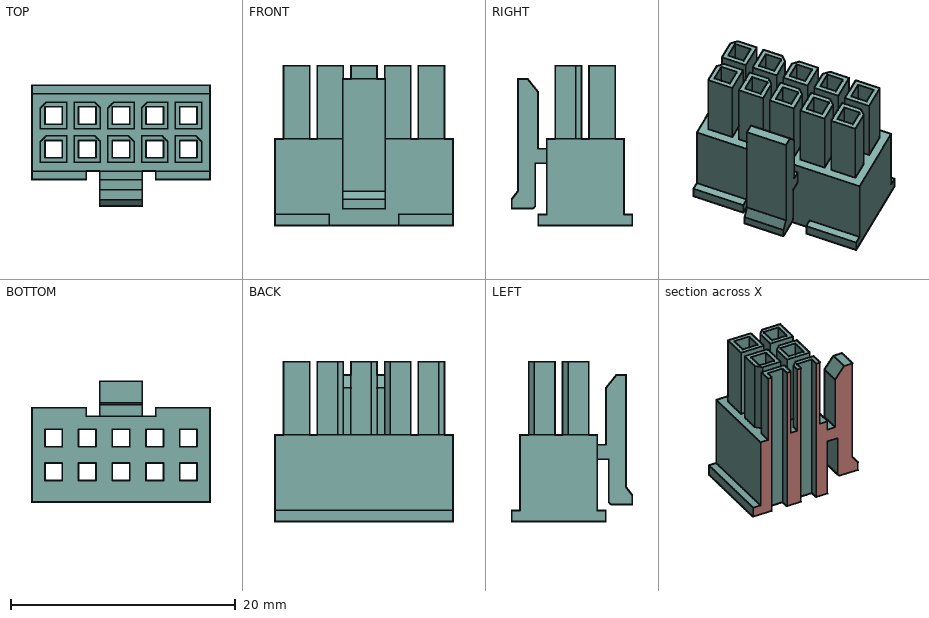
import cadquery as cq

width = 15.85
body_depth = 6.9
body_height = 7.7
flange_overhang = 0.75
flange_height = 1.0
flange_gap_width = 6.13

total_height = 14.2
columns = 5
pitch = 3.0
tower_size = 2.35
tower_key = 0.5
hole_size = 1.52

BACK_LEFT = "|Z and (<X and >Y)"
BACK_RIGHT = "|Z and (>X and >Y)"

front_row_keys = [BACK_LEFT, BACK_RIGHT, BACK_RIGHT, BACK_RIGHT, BACK_RIGHT]
back_row_keys = [BACK_LEFT, BACK_RIGHT, BACK_LEFT, BACK_LEFT, None]

latch_width = 3.8
latch_bottom = 1.49
latch_top = 13.03
thumb_inner_reach = flange_overhang
thumb_tip_reach = 1.66
thumb_bevel_height = 1.15
hook_inner_reach = 1.0
hook_inner_chamfer = 0.2
lever_outer_reach = 2.55
hook_outer_reach = 3.1
hook_flat_height = 0.84
hook_ramp_height = 0.73
bridge_bottom = 5.53
bridge_top = 6.83

front_face = -body_depth / 2


def make_housing():
    """Block with a flange along the front and back, interrupted in front of the latch."""
    body = cq.Workplane("XY").box(width, body_depth, body_height, centered=(True, True, False))
    flange = cq.Workplane("XY").box(
        width, body_depth + 2 * flange_overhang, flange_height, centered=(True, True, False)
    )
    gap = (
        cq.Workplane("XY")
        .center(0, front_face - flange_overhang / 2)
        .rect(flange_gap_width, flange_overhang)
        .extrude(flange_height)
    )
    return body.union(flange.cut(gap))


def tower_centers(row_y):
    """Positions of one row of towers, from left to right."""
    return [((column - (columns - 1) / 2) * pitch, row_y) for column in range(columns)]


def make_tower(center, key_corner):
    """Square post standing on the body, with one vertical edge beveled as a key."""
    tower = (
        cq.Workplane("XY", origin=(*center, body_height))
        .rect(tower_size, tower_size)
        .extrude(total_height - body_height)
    )
    if key_corner is None:
        return tower
    return tower.edges(key_corner).chamfer(tower_key)


def make_latch():
    """Lever held by a bridge, with a thumb pad above and a hook below."""
    profile = [
        (0, bridge_bottom),
        (hook_inner_reach, bridge_bottom),
        (hook_inner_reach, latch_bottom + hook_inner_chamfer),
        (hook_inner_reach + hook_inner_chamfer, latch_bottom),
        (hook_outer_reach, latch_bottom),
        (hook_outer_reach, latch_bottom + hook_flat_height),
        (lever_outer_reach, latch_bottom + hook_flat_height + hook_ramp_height),
        (lever_outer_reach, latch_top),
        (thumb_tip_reach, latch_top),
        (thumb_inner_reach, latch_top - thumb_bevel_height),
        (thumb_inner_reach, bridge_top),
        (0, bridge_top),
    ]
    return (
        cq.Workplane("YZ")
        .polyline([(front_face - reach, z) for reach, z in profile])
        .close()
        .extrude(latch_width / 2, both=True)
    )


front_row = tower_centers(-pitch / 2)
back_row = tower_centers(pitch / 2)
all_centers = front_row + back_row

result = make_housing().union(make_latch())
for center, key_corner in zip(all_centers, front_row_keys + back_row_keys):
    result = result.union(make_tower(center, key_corner))

holes = cq.Workplane("XY").pushPoints(all_centers).rect(hole_size, hole_size).extrude(total_height)
result = result.cut(holes)